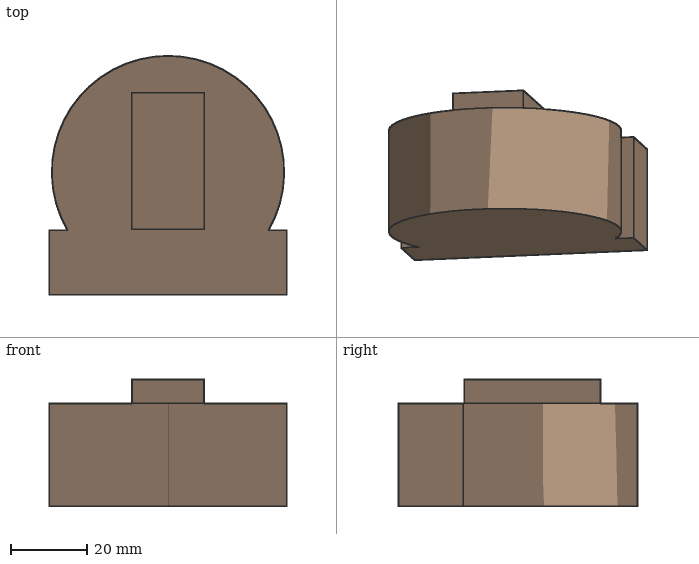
import cadquery as cq
import math

base_width = 62.4
base_depth = 17.0
total_depth = 62.7
disc_radius = 30.5
body_height = 27.0
pad_width = 18.9
pad_length = 35.8
pad_height = 6.3
pad_front = 17.2

disc_center_y = total_depth - disc_radius
shoulder_x = math.sqrt(disc_radius**2 - (disc_center_y - base_depth)**2)


def make_body():
    """Rectangular foot whose back runs into a large round arc."""
    half_width = base_width / 2
    return (
        cq.Workplane("XY")
        .moveTo(0, 0)
        .lineTo(half_width, 0)
        .lineTo(half_width, base_depth)
        .lineTo(shoulder_x, base_depth)
        .threePointArc((0, total_depth), (-shoulder_x, base_depth))
        .lineTo(-half_width, base_depth)
        .lineTo(-half_width, 0)
        .close()
        .extrude(body_height, clean=False)
    )


def make_pad():
    """Raised rectangular pad standing on the top face."""
    return (
        cq.Workplane("XY", origin=(0, pad_front + pad_length / 2, body_height))
        .rect(pad_width, pad_length)
        .extrude(pad_height)
    )


result = make_body().union(make_pad(), clean=False)